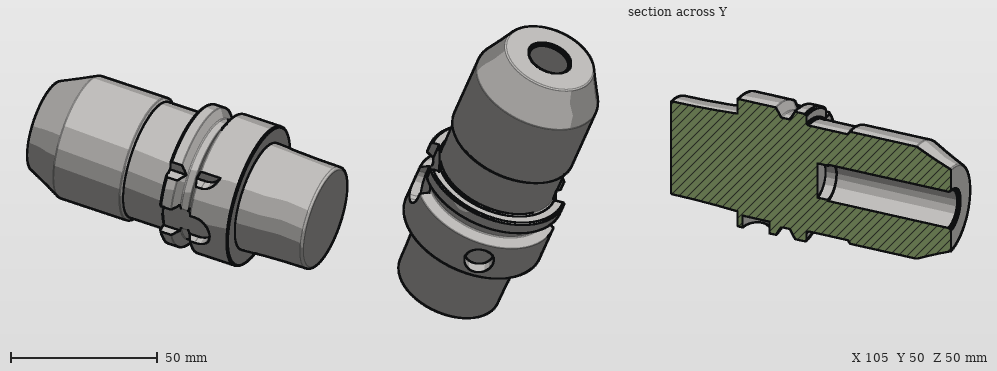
import cadquery as cq
import math

NOSE_X = -80.0
SHANK_END_X = 25.0

NOSE_TIP_DIA = 32.0
NOSE_TIP_FILLET = 0.65
NOSE_CONE_LENGTH = 12.9
NOSE_DIA = 44.0
NOSE_LENGTH = 37.9
NOSE_SHOULDER_FILLET = 0.8
NOSE_BACK_BEVEL = 0.75
NOSE_BACK_FILLET = 0.4

NECK_DIA = 41.6
NECK_FILLET = 0.6
FLANGE_DIA = 50.0
FLANGE_LENGTH = 26.0
FLANGE_FRONT_CHAMFER = 0.6
FLANGE_BACK_CHAMFER = 0.4

GROOVE_DIA = 43.0
GROOVE_CENTRE_X = -18.0
GROOVE_FLOOR_WIDTH = 3.1
GROOVE_FLANK_ANGLE = 30.0
GROOVE_FLOOR_FILLET = 0.5
GROOVE_RIM_FILLET = 0.3

SHANK_BASE_DIA = 38.4
SHANK_END_DIA = 36.5
SHANK_END_FILLET = 0.9

BORE_MOUTH_DIA = 15.5
MOUTH_STAGE_DIA = 14.5
MOUTH_STAGE_DEPTH = 0.45
BORE_DIA = 14.0
MOUTH_DEPTH = 0.95
BORE_DEPTH = 46.0
END_HOLE_DIA = 13.2
END_HOLE_DEPTH = 50.0

CUTTER_RADIUS = 6.0
SLOT_END_X = -6.7
SLOT_FLOOR = 21.0
NARROW_SLOT_WIDTH = 2 * CUTTER_RADIUS
WIDE_SLOT_WIDTH = 14.2

NOTCH_OFFSET = 15.65

CHIP_HOLE_DIA = 10.0
CHIP_HOLE_X = -7.0
CHIP_HOLE_DEPTH = 4.6


def ring_edge(x, radius):
    """Selector for the circular edge of the given radius at one place along the axis."""
    tolerance = 0.05
    reach = radius + tolerance
    return cq.selectors.BoxSelector(
        (x - tolerance, -reach, -reach), (x + tolerance, reach, reach), boundingbox=True
    )


def turned_body():
    """Revolve the outer outline round the X axis."""
    nose_r = NOSE_DIA / 2
    tip_r = NOSE_TIP_DIA / 2
    neck_r = NECK_DIA / 2
    flange_r = FLANGE_DIA / 2
    groove_r = GROOVE_DIA / 2
    nose_shoulder_x = NOSE_X + NOSE_CONE_LENGTH
    nose_back_x = NOSE_X + NOSE_LENGTH
    flange_x = -FLANGE_LENGTH
    floor_half = GROOVE_FLOOR_WIDTH / 2
    mouth_half = floor_half + (flange_r - groove_r) * math.tan(math.radians(GROOVE_FLANK_ANGLE))

    shank_end_r = SHANK_END_DIA / 2
    fillet_x = SHANK_END_X - SHANK_END_FILLET

    outline = (
        cq.Workplane("XY")
        .moveTo(NOSE_X, 0)
        .lineTo(NOSE_X, tip_r)
        .lineTo(nose_shoulder_x, nose_r)
        .lineTo(nose_back_x, nose_r)
        .lineTo(nose_back_x + NOSE_BACK_BEVEL, neck_r)
        .lineTo(flange_x - NECK_FILLET, neck_r)
        .radiusArc((flange_x, neck_r + NECK_FILLET), -NECK_FILLET)
        .lineTo(flange_x, flange_r - FLANGE_FRONT_CHAMFER)
        .lineTo(flange_x + FLANGE_FRONT_CHAMFER, flange_r)
        .lineTo(GROOVE_CENTRE_X - mouth_half, flange_r)
        .lineTo(GROOVE_CENTRE_X - floor_half, groove_r)
        .lineTo(GROOVE_CENTRE_X + floor_half, groove_r)
        .lineTo(GROOVE_CENTRE_X + mouth_half, flange_r)
        .lineTo(-FLANGE_BACK_CHAMFER, flange_r)
        .lineTo(0, flange_r - FLANGE_BACK_CHAMFER)
        .lineTo(0, SHANK_BASE_DIA / 2)
    )
    drop = (SHANK_BASE_DIA - SHANK_END_DIA) / 2
    shank_arc_radius = (fillet_x**2 + drop**2) / (2 * drop)
    outline = (
        outline
        .radiusArc((fillet_x, shank_end_r), -shank_arc_radius)
        .radiusArc((SHANK_END_X, shank_end_r - SHANK_END_FILLET), SHANK_END_FILLET)
        .lineTo(SHANK_END_X, 0)
        .close()
    )
    body = outline.revolve(360, (0, 0, 0), (1, 0, 0))
    rounded_edges = [
        (NOSE_X, tip_r, NOSE_TIP_FILLET),
        (nose_shoulder_x, nose_r, NOSE_SHOULDER_FILLET),
        (nose_back_x, nose_r, NOSE_BACK_FILLET),
    ]
    for side in (-1, 1):
        rounded_edges.append((GROOVE_CENTRE_X + side * floor_half, groove_r, GROOVE_FLOOR_FILLET))
        rounded_edges.append((GROOVE_CENTRE_X + side * mouth_half, flange_r, GROOVE_RIM_FILLET))
    for x, radius, fillet in rounded_edges:
        body = body.edges(ring_edge(x, radius)).fillet(fillet)
    return body


def tool_bore():
    """Blind stepped bore from the nose face with a conical mouth."""
    bore_r = BORE_DIA / 2
    end_hole_r = END_HOLE_DIA / 2
    return (
        cq.Workplane("XY")
        .moveTo(NOSE_X, 0)
        .lineTo(NOSE_X, BORE_MOUTH_DIA / 2)
        .lineTo(NOSE_X + MOUTH_STAGE_DEPTH, MOUTH_STAGE_DIA / 2)
        .lineTo(NOSE_X + MOUTH_DEPTH, bore_r)
        .lineTo(NOSE_X + BORE_DEPTH, bore_r)
        .lineTo(NOSE_X + BORE_DEPTH, end_hole_r)
        .lineTo(NOSE_X + END_HOLE_DEPTH, end_hole_r)
        .lineTo(NOSE_X + END_HOLE_DEPTH, 0)
        .close()
        .revolve(360, (0, 0, 0), (1, 0, 0))
    )


def side_slot(side, floor, width, centre_z):
    """Slot milled along Y from one side (+1 or -1), with cutter-rounded corners at its end."""
    outer_y = FLANGE_DIA / 2
    depth = outer_y - floor
    length = SLOT_END_X + FLANGE_LENGTH + CUTTER_RADIUS
    half_width = width / 2
    left_x = SLOT_END_X - length
    corner_x = SLOT_END_X - CUTTER_RADIUS
    flat_half = half_width - CUTTER_RADIUS
    outline = (
        cq.Workplane("XZ", origin=(0, side * outer_y, centre_z))
        .moveTo(left_x, -half_width)
        .lineTo(corner_x, -half_width)
        .radiusArc((SLOT_END_X, -flat_half), -CUTTER_RADIUS)
    )
    if flat_half > 0:
        outline = outline.lineTo(SLOT_END_X, flat_half)
    return (
        outline
        .radiusArc((corner_x, half_width), -CUTTER_RADIUS)
        .lineTo(left_x, half_width)
        .close()
        .extrude(side * depth)
    )


def chip_hole():
    """Blind round hole in the flange rim, opening toward -Z."""
    return (
        cq.Workplane("XY", origin=(CHIP_HOLE_X, 0, -FLANGE_DIA / 2))
        .circle(CHIP_HOLE_DIA / 2)
        .extrude(CHIP_HOLE_DEPTH)
    )


result = (
    turned_body()
    .cut(tool_bore())
    .cut(side_slot(-1, SLOT_FLOOR, NARROW_SLOT_WIDTH, 0))
    .cut(side_slot(1, SLOT_FLOOR, WIDE_SLOT_WIDTH, 0))
    .cut(side_slot(-1, NOTCH_OFFSET, NARROW_SLOT_WIDTH, NOTCH_OFFSET + CUTTER_RADIUS))
    .cut(chip_hole())
)